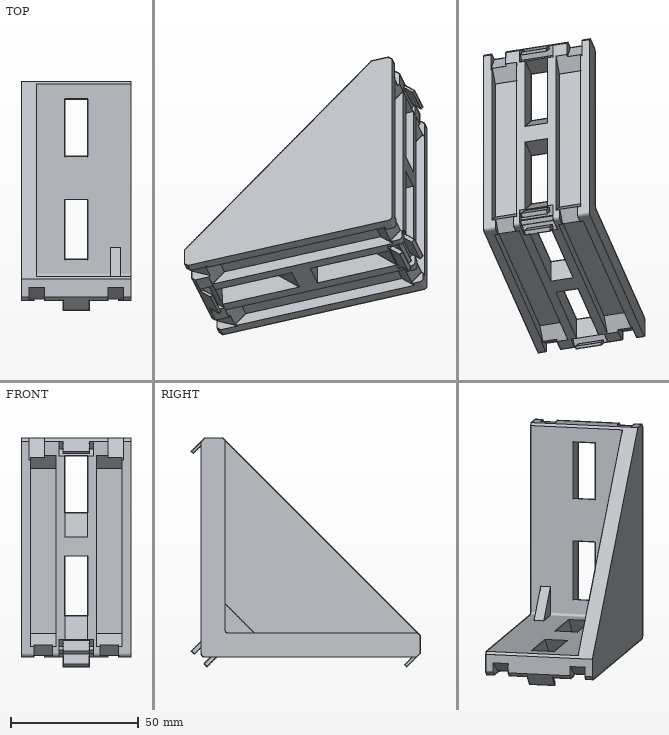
import cadquery as cq


WIDTH = 43.0
LEG = 86.0
END_FLAT = 8.5
END_CHAMFER = 1.5
CORNER_RADIUS = 1.5
WALL = 9.5
SIDE_PLATE = 6.0
INNER_RADIUS = 1.0

GUSSET_LEG = 11.4
GUSSET_START = 13.5
GUSSET_WIDTH = 3.9

SLOT_WIDTH = 9.0
INNER_SLOT_START = 6.75
INNER_SLOT_END = 39.6
OUTER_SLOT_START = 47.2
OUTER_SLOT_END = 78.9
OUTER_SLOT_TAPER = 0.35

GROOVE_INSET = 3.5
GROOVE_WIDTH = 10.0
GROOVE_DEPTH = 5.1
GROOVE_START = 4.15
GROOVE_END = 79.0

END_NOTCH_INSET = 3.05
END_NOTCH_WIDTH = 6.0
END_NOTCH_DEPTH = 5.2
END_NOTCH_LENGTH = 8.7
CORNER_NOTCH_SIZE = 5.45
CORNER_NOTCH_WIDTH = 7.3

RECESS_WIDTH = 13.5
CORNER_RECESS_SIZE = 6.95
CORNER_KEY_OFFSET = 1.3
CORNER_KEY_END = 4.3
END_RECESS_LENGTH = LEG - END_CHAMFER - OUTER_SLOT_END
TAB_WIDTH = 10.2
TAB_REACH = 3.82
END_TAB_THICKNESS = 1.6
CORNER_TAB_START = 6.15
CORNER_TAB_THICKNESS = 2.4


def prism(points, x_start, x_end):
    """Extrude a (Y, Z) outline along X."""
    outline = cq.Workplane("YZ", origin=(x_start, 0, 0)).polyline(points).close()
    return outline.extrude(x_end - x_start)


def centred_prism(points, width):
    return prism(points, -width / 2, width / 2)


def on_both_legs(points, x_start, x_end):
    """Make a prism on the upright leg and its twin on the base leg."""
    swapped = [(z, y) for y, z in points]
    return prism(points, x_start, x_end).union(prism(swapped, x_start, x_end))


def centred_on_both_legs(points, width):
    return on_both_legs(points, -width / 2, width / 2)


def corner_triangle(size, start=0.0):
    """Right triangle whose equal legs lie along Y and Z."""
    return [(start, start), (start + size, start), (start, start + size)]


def make_body():
    outline = [
        (0, 0),
        (LEG - END_CHAMFER, 0),
        (LEG, END_CHAMFER),
        (LEG, END_FLAT),
        (END_FLAT, LEG),
        (END_CHAMFER, LEG),
        (0, LEG - END_CHAMFER),
    ]
    body = centred_prism(outline, WIDTH)
    body = body.edges(cq.selectors.NearestToPointSelector((0, 0, 0))).fillet(CORNER_RADIUS)

    interior = [(WALL, WALL), (LEG, WALL), (LEG, LEG), (WALL, LEG)]
    interior = prism(interior, SIDE_PLATE - WIDTH / 2, WIDTH / 2)
    interior = interior.edges(cq.selectors.NearestToPointSelector((0, WALL, WALL))).fillet(INNER_RADIUS)
    return body.cut(interior)


def make_gusset():
    triangle = corner_triangle(GUSSET_LEG, WALL)
    return prism(triangle, GUSSET_START, GUSSET_START + GUSSET_WIDTH)


def make_slots():
    slots = cq.Workplane("YZ")
    for start, end, taper in (
        (INNER_SLOT_START, INNER_SLOT_END, 0),
        (OUTER_SLOT_START, OUTER_SLOT_END, OUTER_SLOT_TAPER),
    ):
        outline = [(0, start), (WALL, start + WALL), (WALL, end + taper), (0, end)]
        slots = slots.add(centred_on_both_legs(outline, SLOT_WIDTH))
    return slots.combine()


def make_side_cuts(side):
    """Groove, end notch and corner notch on one side (-1 or 1) of the middle."""
    groove = [
        (0, GROOVE_START),
        (GROOVE_DEPTH, GROOVE_START + GROOVE_DEPTH),
        (GROOVE_DEPTH, GROOVE_END - GROOVE_DEPTH),
        (0, GROOVE_END),
    ]
    end_notch = [(0, LEG), (END_NOTCH_DEPTH, LEG), (0, LEG - END_NOTCH_LENGTH)]
    corner_notch = corner_triangle(CORNER_NOTCH_SIZE)

    groove_x = -WIDTH / 2 + GROOVE_INSET
    notch_x = -WIDTH / 2 + END_NOTCH_INSET
    corner_x = groove_x + (GROOVE_WIDTH - CORNER_NOTCH_WIDTH) / 2
    cuts = on_both_legs(groove, groove_x, groove_x + GROOVE_WIDTH)
    cuts = cuts.union(on_both_legs(end_notch, notch_x, notch_x + END_NOTCH_WIDTH))
    cuts = cuts.union(prism(corner_notch, corner_x, corner_x + CORNER_NOTCH_WIDTH))
    return cuts if side < 0 else cuts.mirror("YZ")


def make_recesses():
    """V recesses at the leg ends and the recess with a standing key at the corner."""
    recess_top = LEG - END_CHAMFER
    recess_depth = END_RECESS_LENGTH / 2
    end_recess = [
        (0, recess_top),
        (recess_depth, recess_top - recess_depth),
        (0, recess_top - END_RECESS_LENGTH),
    ]

    def key_point(diagonal, offset):
        return ((diagonal - offset) / 2, (diagonal + offset) / 2)

    key = [
        key_point(CORNER_KEY_END, CORNER_KEY_OFFSET),
        key_point(CORNER_KEY_END, -CORNER_KEY_OFFSET),
        key_point(CORNER_RECESS_SIZE, -CORNER_KEY_OFFSET),
        key_point(CORNER_RECESS_SIZE, CORNER_KEY_OFFSET),
    ]
    corner_recess = centred_prism(corner_triangle(CORNER_RECESS_SIZE), RECESS_WIDTH)
    corner_recess = corner_recess.cut(centred_prism(key, RECESS_WIDTH))
    return corner_recess.union(centred_on_both_legs(end_recess, RECESS_WIDTH))


def make_tab(top, thickness, root):
    """45 degree tab whose top leaves the outer face at height top.

    root is the value of Y + Z on the recess wall that carries the tab.
    """
    bottom = top - thickness
    middle = thickness / 2
    tab = [
        (-TAB_REACH, top - TAB_REACH),
        ((root - top) / 2, (root + top) / 2),
        ((root - bottom) / 2, (root + bottom) / 2),
        (middle - TAB_REACH, top - middle - TAB_REACH),
    ]
    return centred_on_both_legs(tab, TAB_WIDTH)


result = make_body().union(make_gusset()).cut(make_slots())
for cut_side in (-1, 1):
    result = result.cut(make_side_cuts(cut_side))
result = result.cut(make_recesses())
result = result.union(make_tab(CORNER_TAB_START, CORNER_TAB_THICKNESS, CORNER_RECESS_SIZE))
result = result.union(make_tab(LEG - END_CHAMFER, END_TAB_THICKNESS, LEG - END_CHAMFER))